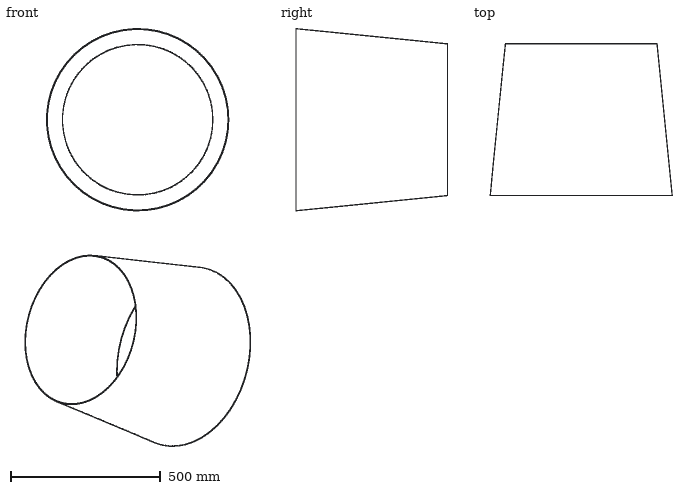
import cadquery as cq

large_diameter = 609.5
small_diameter = 508.0
length = 508.0
wall = 3.0

large_radius = large_diameter / 2
small_radius = small_diameter / 2
front_y = -length / 2
back_y = length / 2

wall_section = (
    cq.Workplane("XY")
    .moveTo(large_radius - wall, front_y)
    .lineTo(large_radius, front_y)
    .lineTo(small_radius, back_y)
    .lineTo(small_radius - wall, back_y)
    .close()
)

result = wall_section.revolve(360, (0, 0, 0), (0, 1, 0))